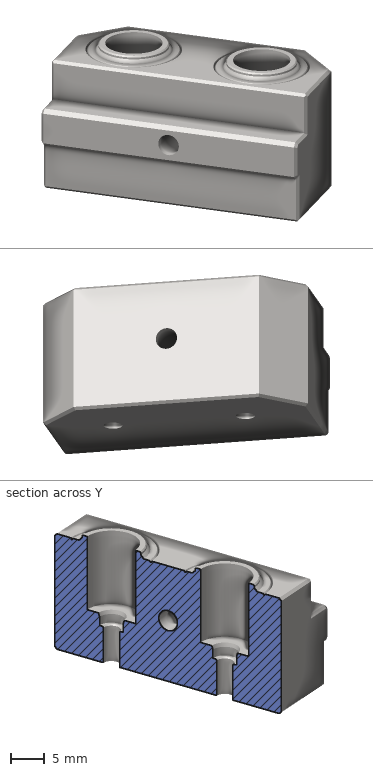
import cadquery as cq

length = 40.0
body_depth = 20.25
body_top = 19.0
corner_cut = 6.0
edge_chamfer = 0.4

rail_projection = 1.0
rail_bottom = 7.0
rail_top = 12.9
rail_chamfer = 0.6
shoulder_setback = 3.5
rail_front = -(body_depth + rail_projection)
shoulder_front = -(body_depth - shoulder_setback)

cross_hole_diameter = 3.2
cross_hole_z = 10.0

seat_y = -8.5
seat_spacing = 20.0
seat_x_positions = [-seat_spacing / 2, seat_spacing / 2]

seam_outer_diameter = 14.25
seam_root_diameter = 14.0
seam_inner_diameter = 13.45
seam_depth = (seam_root_diameter - seam_inner_diameter) / 2

collar_top = 20.0
collar_base_diameter = 11.45
collar_diameter = 10.45
collar_flare_height = (collar_base_diameter - collar_diameter) / 2
collar_chamfer = 0.2

bore_diameter = 8.45
bore_depth = 12.0
bore_floor = collar_top - bore_depth
socket_rim_diameter = 4.5
socket_diameter = 4.1
socket_taper_depth = 0.6
socket_depth = 2.0
socket_floor = bore_floor - socket_depth
through_diameter = 2.8
countersink_diameter = 3.2
countersink_depth = (countersink_diameter - through_diameter) / 2


def revolve_about_z(points):
    """Solid of revolution about Z from (diameter, z) points."""
    outline = [(diameter / 2, z) for diameter, z in points]
    return cq.Workplane("XZ").polyline(outline).close().revolve(360, (0, 0), (0, 1))


def chamfer_ends(block):
    """Chamfer the end-face edges in front of the corner cuts, between the top and bottom chamfers."""
    margin = edge_chamfer / 10
    front_edges = cq.selectors.BoxSelector(
        (-length, rail_front - margin, edge_chamfer + margin),
        (length, -corner_cut - margin, body_top - edge_chamfer - margin),
    )
    return block.faces("<X or >X").edges(front_edges).chamfer(edge_chamfer)


def make_block():
    """Block with front rail, cut back corners and chamfered edges."""
    side_profile = [
        (0, 0),
        (-body_depth, 0),
        (-body_depth, rail_bottom),
        (rail_front, rail_bottom),
        (rail_front, rail_top),
        (shoulder_front, rail_top),
        (shoulder_front, body_top),
        (0, body_top),
    ]
    block = cq.Workplane("YZ").polyline(side_profile).close().extrude(length / 2, both=True)
    block = block.edges("|Z and >Y").chamfer(corner_cut)
    block = block.faces("<Y").edges("|X").chamfer(rail_chamfer)
    block = block.faces("<Z or >Z").edges().chamfer(edge_chamfer)
    return chamfer_ends(block)


def make_cross_hole():
    """Cutter for the round hole through the rail and block."""
    hole = cq.Workplane("XZ").center(0, cross_hole_z).circle(cross_hole_diameter / 2)
    return hole.extrude(-rail_front)


def make_seam():
    """Cutter for the ring groove: steep outer wall, 45 degree inner wall."""
    return revolve_about_z([
        (seam_outer_diameter, body_top),
        (seam_root_diameter, body_top - seam_depth),
        (seam_inner_diameter, body_top),
    ])


def make_collar():
    """Collar with a flared base and a chamfered rim."""
    return revolve_about_z([
        (0, body_top),
        (collar_base_diameter, body_top),
        (collar_diameter, body_top + collar_flare_height),
        (collar_diameter, collar_top - collar_chamfer),
        (collar_diameter - 2 * collar_chamfer, collar_top),
        (0, collar_top),
    ])


def make_bore():
    """Cutter for the bore, the tapered socket in its floor and the countersunk through hole."""
    return revolve_about_z([
        (0, collar_top),
        (bore_diameter, collar_top),
        (bore_diameter, bore_floor),
        (socket_rim_diameter, bore_floor),
        (socket_diameter, bore_floor - socket_taper_depth),
        (socket_diameter, socket_floor),
        (countersink_diameter, socket_floor),
        (through_diameter, socket_floor - countersink_depth),
        (through_diameter, 0),
        (0, 0),
    ])


part = make_block().cut(make_cross_hole())
for seat_x in seat_x_positions:
    seat_position = (seat_x, seat_y, 0)
    part = part.cut(make_seam().translate(seat_position))
    part = part.union(make_collar().translate(seat_position))
    part = part.cut(make_bore().translate(seat_position))

result = part.solids()